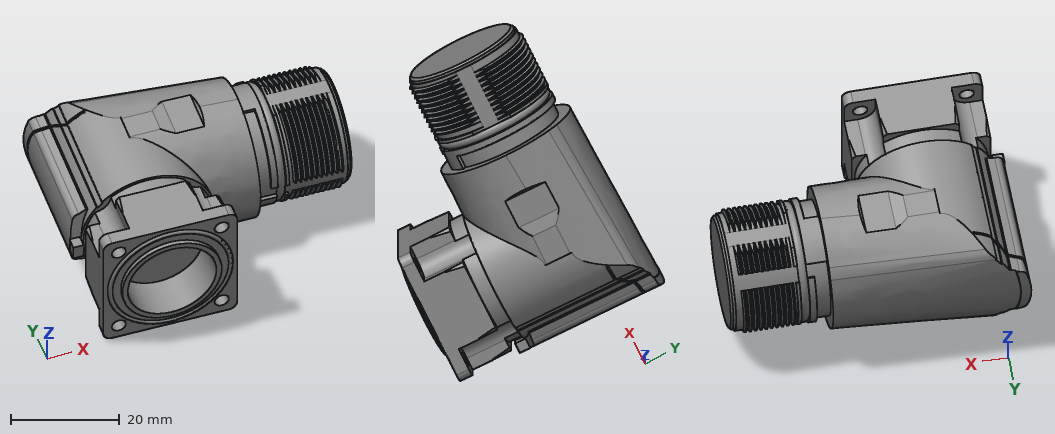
import cadquery as cq
import math


elbow_radius = 12.95
elbow_bottom = -13.2
crown_top = 14.25
crown_edge = (9.6, 12.55)
shoulder_mid = (10.65, 12.0)
shoulder_end = (11.1, 11.1)
flank_end = (13.0, 2.8)

rib_back = -15.0
rib_root = -10.0
rib_half_width = 6.65
rib_bottom_edge = -11.6
tab_back = -15.1
tab_thickness = 2.0
tab_half_width = 1.45
tab_bottom = -15.4

seam_width = 0.4
seam_depth = 0.3
seam_end_x = -5.45
track_angle = 136.5
track_width = 1.45
track_depth = 0.3

barrel_radius = 13.235
barrel_end = 21.8
mitre_offset = 1.2

neck_radius = 12.45
block_top = -16.05
flange_back = -23.9
flange_face = -26.5
flange_size = 25.85
flange_corner = 1.65
notch_start = 7.1
notch_radius = 3.35
wedge_large = 0.7
wedge_small = 0.15
wedge_length = 3.65
hole_offset = 9.95
hole_diameter = 2.7
seal_radius = 11.65
seal_thickness = 0.47
seal_ring_radius = 11.2
seal_ring_face = -26.65
spigot_radius = 9.6
spigot_face = -27.55
bore_radius = 8.55
bore_floor = -19.6

core_radius = 10.8
crest_radius = 11.5
collar_start = 24.5
collar_end = 25.75
barrel_seal_radius = 11.25
stop_start = 27.35
stop_end = 27.95
thread_root = 10.95
thread_start = 27.95
thread_pitch = 1.0
thread_turns = 10
thread_base = 0.85
thread_flat = 10.8
thread_land_end = 39.45
keyway_width = 3.1
keyway_angles = (45.0, 260.5)
tip_radius = 10.65
tip_end = 40.4
tip_chamfer = 0.45
collar_gaps = ((37.0, 50.0), (253.0, 269.0))
narrow_stretches = ((50.0, 229.0), (269.0, 351.6))


def prism(outline, low, high):
    """Extrude an outline drawn in the XZ plane between two Y heights."""
    return outline.extrude(high - low).translate((0, high, 0))


def along_y(radius, low, high):
    return cq.Workplane("XZ", origin=(0, high, 0)).circle(radius).extrude(high - low)


def along_x(radius, start, end):
    return cq.Workplane("YZ", origin=(start, 0, 0)).circle(radius).extrude(end - start)


def box(x, y, z):
    """Box from (low, high) pairs."""
    size = [pair[1] - pair[0] for pair in (x, y, z)]
    return cq.Workplane("XY").box(*size, centered=False).translate((x[0], y[0], z[0]))


def rib_outline(inset):
    side = rib_half_width - inset
    back = rib_back + inset
    step = (-12.9 + inset, 6.1 - inset)
    bend = (-13.8 + inset, 5.7 - inset)
    corner = (-14.2 + inset, 5.1 - inset)
    return (
        cq.Workplane("XZ")
        .moveTo(rib_root, side)
        .lineTo(-11.4, side)
        .lineTo(*step)
        .threePointArc(bend, corner)
        .threePointArc((back, 0), (corner[0], -corner[1]))
        .threePointArc((bend[0], -bend[1]), (step[0], -step[1]))
        .lineTo(-11.4, -side)
        .lineTo(rib_root, -side)
        .close()
    )


def elbow_prism(inset):
    """Upright cylinder with the back rib, both reduced by inset."""
    height = 2 * crown_top
    cylinder = along_y(elbow_radius - inset, elbow_bottom, elbow_bottom + height)
    rib = prism(rib_outline(inset), elbow_bottom, elbow_bottom + height)
    tip = tab_half_width
    rib_limit = (
        cq.Workplane("YZ", origin=(2 * rib_back, 0, 0))
        .polyline([
            (2 * crown_top, rib_half_width),
            (rib_bottom_edge, rib_half_width),
            (elbow_bottom, tip),
            (elbow_bottom, -tip),
            (rib_bottom_edge, -rib_half_width),
            (2 * crown_top, -rib_half_width),
        ])
        .close()
        .extrude(-2 * rib_back)
    )
    return cylinder.union(rib.intersect(rib_limit))


def crowned_outline(x):
    """Crown, shoulders and flanks in the YZ plane, left open at the flank ends."""
    def right(point):
        return (point[1], point[0])

    def left(point):
        return (point[1], -point[0])

    return (
        cq.Workplane("YZ", origin=(x, 0, 0))
        .moveTo(*right(flank_end))
        .lineTo(*right(shoulder_end))
        .threePointArc(right(shoulder_mid), right(crown_edge))
        .threePointArc((crown_top, 0), left(crown_edge))
        .threePointArc(left(shoulder_mid), left(shoulder_end))
        .lineTo(*left(flank_end))
    )


def barrel_loft():
    """Crowned section at the back blending to a circle at the barrel mouth."""
    def on_circle(angle):
        turn = math.radians(angle)
        return (barrel_radius * math.sin(turn), barrel_radius * math.cos(turn))

    back = crowned_outline(tab_back).threePointArc(
        (-barrel_radius, 0), (flank_end[1], flank_end[0])
    ).close()
    shoulder = 41.5
    crown = 52.0
    corners = [0, shoulder, crown, 180 - crown, 180 - shoulder, 180, 360]
    mouth = cq.Workplane("YZ", origin=(barrel_end, 0, 0)).moveTo(*on_circle(0))
    for start, end in zip(corners, corners[1:]):
        mouth = mouth.threePointArc(on_circle((start + end) / 2), on_circle(end))
    mouth = mouth.close()
    return cq.Workplane(cq.Solid.makeLoft([back.val(), mouth.val()], True))


def flat_cutter():
    """Material removed above the stepped flat on the barrel's top."""
    high_flat = 13.0
    low_flat = 12.6
    return (
        cq.Workplane("XZ", origin=(0, barrel_radius, 0))
        .moveTo(0, high_flat)
        .lineTo(6.0, high_flat)
        .lineTo(8.5, low_flat)
        .lineTo(14.0, low_flat)
        .lineTo(14.55, barrel_radius)
        .lineTo(14.55, barrel_radius + 0.55)
        .lineTo(0, barrel_radius + 0.55)
        .close()
        .extrude(2 * barrel_radius)
    )


def seam_groove():
    """Shallow groove where the cap meets the elbow, around its back."""
    side_y = 7.25
    half = seam_width / 2

    def edge(line, shift, sign):
        return [(y + shift, sign * z) for y, z in line]

    line = [(side_y, elbow_radius + 0.55), (side_y, 9.15), (10.0, 6.65)]
    upper = edge(line, half, 1)
    upper_far = edge(line, half, -1)
    lower = edge(line, -half, 1)
    lower_far = edge(line, -half, -1)
    arch = 11.9
    stripe = (
        cq.Workplane("YZ", origin=(2 * rib_back, 0, 0))
        .polyline(upper)
        .threePointArc((arch + half, 0), upper_far[-1])
        .lineTo(*upper_far[1])
        .lineTo(*upper_far[0])
        .lineTo(*lower_far[0])
        .lineTo(*lower_far[1])
        .lineTo(*lower_far[2])
        .threePointArc((arch - half, 0), lower[-1])
        .lineTo(*lower[1])
        .lineTo(*lower[0])
        .close()
        .extrude(seam_end_x - 2 * rib_back)
    )
    return stripe.cut(elbow_prism(seam_depth))


def track_grooves():
    """Two shallow upright grooves, one on each side of the back rib."""
    groove = box(
        (elbow_radius - track_depth, elbow_radius + 1.1),
        (elbow_bottom - 0.55, crown_top + 0.55),
        (-track_width / 2, track_width / 2),
    )
    one = groove.rotate((0, 0, 0), (0, 1, 0), -track_angle)
    other = groove.rotate((0, 0, 0), (0, 1, 0), track_angle)
    return one.union(other)


def make_elbow():
    reach = 4 * barrel_end
    behind_mitre = (
        cq.Workplane("XY", origin=(0, 0, -reach / 2))
        .polyline([
            (mitre_offset - reach, reach),
            (mitre_offset + reach, -reach),
            (mitre_offset - reach, -reach),
        ])
        .close()
        .extrude(reach)
    )
    crown = (
        crowned_outline(-reach)
        .lineTo(elbow_bottom, -flank_end[0])
        .lineTo(elbow_bottom, flank_end[0])
        .close()
        .extrude(2 * reach)
    )
    loft = barrel_loft()
    back = crown.intersect(behind_mitre).union(loft).intersect(elbow_prism(0))
    span = (-barrel_radius - 0.55, barrel_radius + 0.55)
    front = loft.intersect(box((0, barrel_end), span, span))
    flats = flat_cutter()
    elbow = back.union(front).cut(flats).cut(flats.mirror("XY"))
    tab = box(
        (tab_back, tab_back + tab_thickness),
        (tab_bottom, elbow_bottom),
        (-tab_half_width, tab_half_width),
    )
    return elbow.cut(seam_groove()).cut(track_grooves()).union(tab)


def corner_notch():
    """Clearance for one screw, with a rounded inner corner and eased edges."""
    far = flange_size
    notch = (
        box((notch_start, far), (flange_back, elbow_bottom), (notch_start, far))
        .edges("|Y and <X and <Z")
        .fillet(notch_radius)
    )
    face = flange_size / 2

    def triangle(size, y):
        return cq.Wire.makePolygon(
            [
                cq.Vector(notch_start, y, face - size),
                cq.Vector(notch_start - size, y, face),
                cq.Vector(notch_start, y, face),
            ],
            close=True,
        )

    wedge = cq.Workplane(cq.Solid.makeLoft(
        [triangle(wedge_large, block_top), triangle(wedge_small, block_top - wedge_length)], True
    ))
    other_wedge = wedge.mirror("XY").rotate((0, 0, 0), (0, 1, 0), -90)
    return notch.union(wedge).union(other_wedge)


def make_flange():
    neck = along_y(neck_radius, block_top - 0.55, elbow_bottom + 0.55)
    side = (-flange_size / 2, flange_size / 2)
    block = box(side, (flange_face, block_top), side).edges("|Y").fillet(flange_corner)
    flange = neck.union(block)
    notch = corner_notch()
    hole = along_y(hole_diameter / 2, flange_face, flange_back).translate((hole_offset, 0, hole_offset))
    corner = notch.union(hole)
    for quarter in range(4):
        flange = flange.cut(corner.rotate((0, 0, 0), (0, 1, 0), 90 * quarter))
    seal = cq.Workplane(cq.Solid.makeTorus(
        seal_radius, seal_thickness, cq.Vector(0, flange_face, 0), cq.Vector(0, 1, 0)
    ))
    seal_ring = along_y(seal_ring_radius, seal_ring_face, flange_face)
    spigot = along_y(spigot_radius, spigot_face, flange_face)
    return flange.union(seal).union(seal_ring).union(spigot)


def sector(radius, start, end, from_angle, to_angle):
    """Pie slice about X; angles run from +Z toward +Y."""
    def at(angle):
        turn = math.radians(angle)
        return (radius * math.sin(turn), radius * math.cos(turn))

    return (
        cq.Workplane("YZ", origin=(start, 0, 0))
        .lineTo(*at(from_angle))
        .threePointArc(at((from_angle + to_angle) / 2), at(to_angle))
        .close()
        .extrude(end - start)
    )


def thread_slots():
    """Lengthwise keyways and flats that interrupt the thread and the stop ring."""
    outside = crest_radius + 0.55
    length = (stop_start, thread_land_end)
    keyway = box(length, (-keyway_width / 2, keyway_width / 2), (core_radius - 0.55, outside))
    slots = box(length, (-outside, outside), (thread_flat, outside))
    slots = slots.union(slots.mirror("XY"))
    for angle in keyway_angles:
        slots = slots.union(keyway.rotate((0, 0, 0), (1, 0, 0), -angle))
    return slots


def make_thread(slots):
    """Helical V ridge seated on the root cylinder, one slotted turn repeated along X."""
    sink = 0.05
    half = thread_base / 2
    crest_half = 0.05
    helix = cq.Wire.makeHelix(thread_pitch, thread_pitch, thread_root)
    turn = (
        cq.Workplane("XZ")
        .polyline([
            (thread_root - sink, -half),
            (crest_radius, -crest_half),
            (crest_radius, crest_half),
            (thread_root - sink, half),
        ])
        .close()
        .sweep(helix, isFrenet=True)
        .rotate((0, 0, 0), (0, 1, 0), 90)
        .translate((thread_start + thread_pitch / 2, 0, 0))
        .cut(slots)
        .cut(along_x(thread_root, thread_start - thread_pitch, thread_start + 3 * thread_pitch))
    )
    pieces = [
        piece.translate(cq.Vector(number * thread_pitch, 0, 0))
        for number in range(thread_turns)
        for piece in turn.solids().vals()
    ]
    return cq.Workplane(cq.Compound.makeCompound(pieces))


def make_collar():
    outside = crest_radius + 0.55
    collar = along_x(crest_radius, barrel_end - 0.55, collar_end)
    for start, end in collar_gaps:
        collar = collar.cut(sector(outside, barrel_end - 0.55, collar_end, start, end))
    for start, end in narrow_stretches:
        collar = collar.cut(sector(outside, barrel_end - 0.55, collar_start, start, end))
    return collar


def make_barrel_seal():
    """Ring with a rounded back, seated between the collar and the stop ring."""
    return (
        cq.Workplane("XY")
        .moveTo(collar_end, core_radius - 0.55)
        .lineTo(collar_end, core_radius)
        .threePointArc(((collar_end + stop_start) / 2, barrel_seal_radius), (stop_start, core_radius))
        .lineTo(stop_start, core_radius - 0.55)
        .close()
        .revolve(360, (0, 0, 0), (1, 0, 0))
    )


def make_threaded_end(slots):
    """Everything beyond the barrel mouth except the thread ridge."""
    flats = box((stop_start, thread_land_end), (-tip_end, tip_end), (-thread_flat, thread_flat))
    root = along_x(thread_root, stop_start, thread_land_end).intersect(flats)
    neck = along_x(core_radius, barrel_end - 0.55, stop_start)
    stop = along_x(crest_radius, stop_start, stop_end).cut(slots)
    tip = along_x(tip_radius, thread_land_end, tip_end).faces(">X").chamfer(tip_chamfer)
    return root.union(neck).union(stop).union(tip).union(make_collar()).union(make_barrel_seal())


slots = thread_slots()
bore = along_y(bore_radius, spigot_face, bore_floor)
body = make_elbow().union(make_flange()).cut(bore).union(make_threaded_end(slots))
result = body.union(make_thread(slots), clean=False, glue=True)